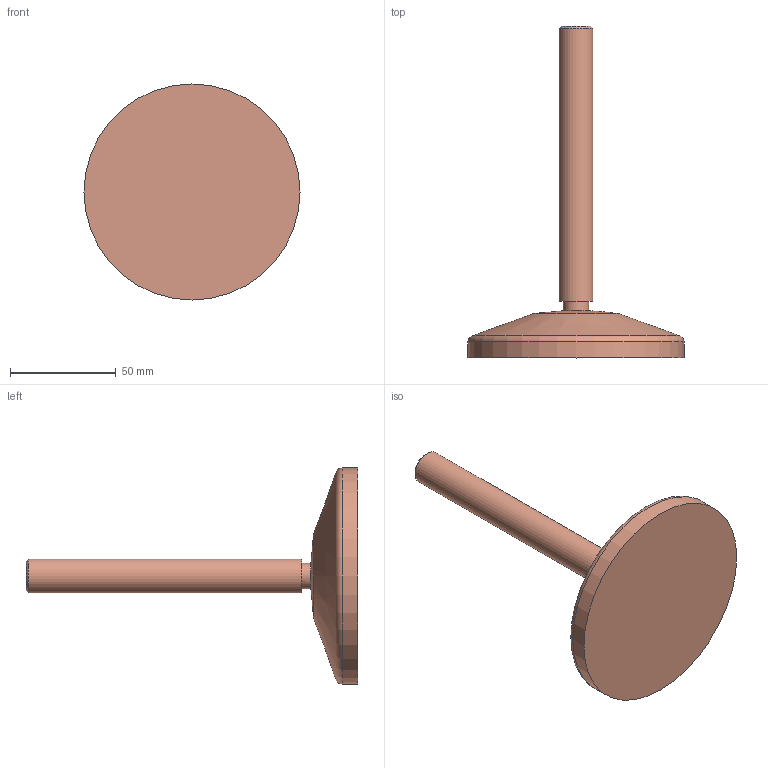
import cadquery as cq
import math

BASE_RADIUS = 51.0
RIM_HEIGHT = 7.5
RIM_FILLET = 3.0
CONE_ANGLE = math.radians(20)
CROWN_EDGE_RADIUS = 20.0
CROWN_DOME_RADIUS = 140.0

NECK_RADIUS = 6.0
NECK_TOP = 26.6
ROD_RADIUS = 8.0
ROD_LENGTH = 130.0
ROD_TOP = NECK_TOP + ROD_LENGTH
ROD_CHAMFER = 1.0


def arc_point(center, radius, angle):
    """Point (radius, height) on an arc; angle is measured from the axis."""
    return (
        center[0] + radius * math.sin(angle),
        center[1] + radius * math.cos(angle),
    )


def make_base():
    rim_center = (BASE_RADIUS - RIM_FILLET, RIM_HEIGHT)
    rim_mid_angle = (CONE_ANGLE + math.pi / 2) / 2
    cone_bottom = arc_point(rim_center, RIM_FILLET, CONE_ANGLE)
    cone_rise = (cone_bottom[0] - CROWN_EDGE_RADIUS) * math.tan(CONE_ANGLE)
    cone_top = (CROWN_EDGE_RADIUS, cone_bottom[1] + cone_rise)

    crown_half_angle = math.asin(CROWN_EDGE_RADIUS / CROWN_DOME_RADIUS)
    crown_center = (0, cone_top[1] - CROWN_DOME_RADIUS * math.cos(crown_half_angle))

    profile = (
        cq.Workplane("XY")
        .lineTo(BASE_RADIUS, 0)
        .lineTo(BASE_RADIUS, RIM_HEIGHT)
        .threePointArc(arc_point(rim_center, RIM_FILLET, rim_mid_angle), cone_bottom)
        .lineTo(*cone_top)
        .threePointArc(
            arc_point(crown_center, CROWN_DOME_RADIUS, crown_half_angle / 2),
            arc_point(crown_center, CROWN_DOME_RADIUS, 0),
        )
        .close()
    )
    return profile.revolve(360, (0, 0), (0, 1))


def make_stem():
    profile = (
        cq.Workplane("XY")
        .moveTo(0, RIM_HEIGHT)
        .lineTo(NECK_RADIUS, RIM_HEIGHT)
        .lineTo(NECK_RADIUS, NECK_TOP)
        .lineTo(ROD_RADIUS, NECK_TOP)
        .lineTo(ROD_RADIUS, ROD_TOP - ROD_CHAMFER)
        .lineTo(ROD_RADIUS - ROD_CHAMFER, ROD_TOP)
        .lineTo(0, ROD_TOP)
        .close()
    )
    return profile.revolve(360, (0, 0), (0, 1))


result = make_base().union(make_stem())